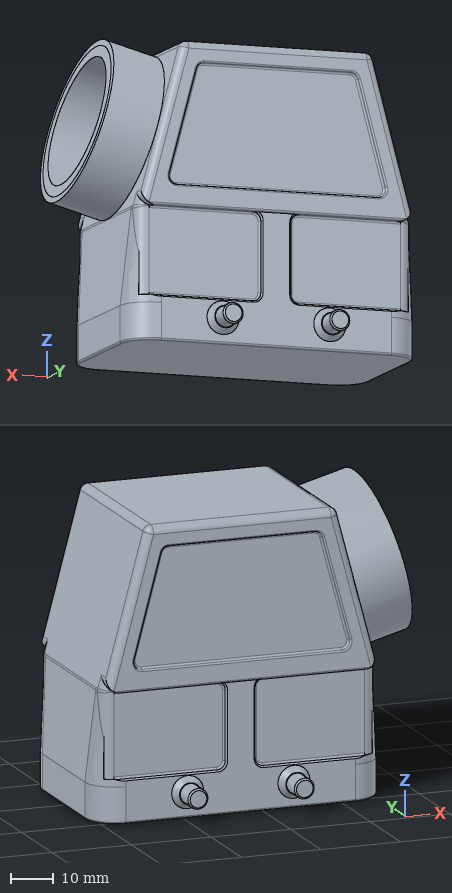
import cadquery as cq
import math

base_length = 72.7
base_width = 42.95
base_height = 9.0
base_corner_radius = 7.5
base_bottom_round = 0.5

shoulder_height = 32.1
shoulder_length = 69.0
shoulder_corner_radius = 5.0
shoulder_blend_radius = 3.0

hood_width = 44.95
hood_height = 71.9
hood_edge_round = 2.0
hood_bottom_round = 0.5
hood_lower_corner_radius = 2.8
end_slope = 15.0

recess_depth = 1.0
recess_corner_radius = 2.0
recess_floor_round = 0.5
recess_rim_round = 0.4
rim_flare_angle = 45.0
pocket_bottom = 10.9
pocket_end_depth = 1.9
web_width = 7.5
window_margin = 5.2

core_corner_radius = 3.0
core_rise_into_hood = 8.35

pin_spacing = 26.7
pin_height = 6.3
pin_diameter = 5.0
pin_span = 57.2
pin_tip_chamfer = 0.4
boss_base_diameter = 8.0
boss_tip_diameter = 5.35
boss_length = 1.7

collar_diameter = 40.6
collar_face_x = 41.95
collar_face_z = 55.0
collar_root_overlap = 1.7
sleeve_outer_diameter = 37.5
sleeve_bore_diameter = 32.0

slope_angle = math.radians(end_slope)
slope_run = math.tan(slope_angle)
top_length = shoulder_length - 2 * (hood_height - shoulder_height) * slope_run
core_width = base_width - 2 * recess_depth
core_top = shoulder_height + core_rise_into_hood
core_top_length = shoulder_length - 2 * core_rise_into_hood * slope_run

window_bottom = shoulder_height + window_margin
window_top = hood_height - window_margin
window_half_length = shoulder_length / 2 - window_margin

collar_axis = cq.Vector(math.cos(slope_angle), 0, math.sin(slope_angle))
collar_face = cq.Vector(collar_face_x, 0, collar_face_z)
shoulder_end = cq.Vector(shoulder_length / 2, 0, shoulder_height)
collar_length = (collar_face - shoulder_end).dot(collar_axis)
collar_plane = cq.Plane(collar_face, (0, 1, 0), collar_axis)

clear_of_part = 2 * base_length
edge_tolerance = 0.04


def rounded_rectangle(length, width, corner_radius):
    return cq.Sketch().rect(length, width).vertices().fillet(corner_radius)


def tapered_block(bottom, lower_section, top, upper_section):
    """Block between two horizontal sections."""
    raised_section = upper_section.moved(cq.Location(cq.Vector(0, 0, top - bottom)))
    return cq.Workplane("XY", origin=(0, 0, bottom)).placeSketch(lower_section, raised_section).loft()


def on_both_sides(feature):
    """The feature on the -Y side and its mirror image on the +Y side."""
    return [feature, feature.mirror("XZ")]


def on_four_sides(feature):
    """The feature at the +X end and at the -X end, on both sides."""
    return on_both_sides(feature) + on_both_sides(feature.mirror("YZ"))


def edges_in_plane(axis, position, half_width, bottom, top):
    """Selector for edges in a plane across X or Y, between two heights and centred on the other axis."""
    low = (position - edge_tolerance, -half_width, bottom - edge_tolerance)
    high = (position + edge_tolerance, half_width, top + edge_tolerance)
    if axis == "Y":
        low = (low[1], low[0], low[2])
        high = (high[1], high[0], high[2])
    return cq.selectors.BoxSelector(low, high, boundingbox=True)


def make_core():
    """Upright block that forms the pocket floors, carried on into the hood at the end slope."""
    section = rounded_rectangle(shoulder_length, core_width, core_corner_radius)
    top_section = rounded_rectangle(core_top_length, core_width, core_corner_radius)
    upright = cq.Workplane("XY", origin=(0, 0, base_height)).placeSketch(section)
    upright = upright.extrude(shoulder_height - base_height)
    return upright.union(tapered_block(shoulder_height, section, core_top, top_section))


def make_side_pocket():
    """Pocket volume at the +X end of the -Y side, with a flared rim and rounded floor edge."""
    height = shoulder_height - pocket_bottom

    def block(corner_x, floor_y, depth):
        volume = cq.Workplane("XY").box(clear_of_part, depth, height, centered=False)
        return volume.translate((corner_x, floor_y - depth, pocket_bottom))

    shallow = block(web_width / 2, -core_width / 2, recess_depth - recess_rim_round)
    shallow = shallow.edges("|Y and <X").fillet(recess_corner_radius)
    rim = shallow.faces("<Y").wires().toPending().workplane()
    rim = rim.extrude(recess_rim_round, combine=False, taper=-rim_flare_angle)
    shallow = shallow.faces(">Y").edges("not >X").fillet(recess_floor_round)
    deep_x = shoulder_length / 2 - core_corner_radius
    deep = block(deep_x, pocket_end_depth - base_width / 2, clear_of_part)
    return shallow.union(rim).union(deep)


def make_skirt():
    """Straight base, and above it the taper that leans in to the shoulder, with four side pockets."""
    lower_section = rounded_rectangle(base_length, base_width, base_corner_radius)
    upper_section = rounded_rectangle(shoulder_length, base_width, shoulder_corner_radius)
    base = cq.Workplane("XY").placeSketch(lower_section).extrude(base_height)
    base = base.faces("<Z").edges().fillet(base_bottom_round)
    skirt = base.union(tapered_block(base_height, lower_section, shoulder_height, upper_section))
    for pocket in on_four_sides(make_side_pocket()):
        skirt = skirt.cut(pocket)
    return skirt


def cheek_outline(margin):
    """XZ corner points of the hood outline, moved inward by a margin on every side."""
    bottom = shoulder_height + margin
    top = hood_height - margin
    side_margin = margin / math.cos(slope_angle)
    half_bottom = shoulder_length / 2 - side_margin - margin * slope_run
    half_top = top_length / 2 - side_margin + margin * slope_run
    return [(-half_bottom, bottom), (half_bottom, bottom), (half_top, top), (-half_top, top)]


def make_corner_cutter():
    """Volume that rounds the lower corner of a cheek, at the +X end of the -Y side."""
    radius = hood_lower_corner_radius
    corner_x = shoulder_length / 2
    corner_half_angle = math.radians(90 - end_slope) / 2
    tangent_length = radius / math.tan(corner_half_angle)
    bottom_x = corner_x - tangent_length
    slope_x = corner_x - tangent_length * math.sin(slope_angle)
    slope_z = shoulder_height + tangent_length * math.cos(slope_angle)
    middle_angle = -math.pi / 2 + math.radians(90 + end_slope) / 2
    middle_x = bottom_x + radius * math.cos(middle_angle)
    middle_z = shoulder_height + radius + radius * math.sin(middle_angle)
    return (
        cq.Workplane("XZ", origin=(0, core_corner_radius - core_width / 2, 0))
        .moveTo(bottom_x, shoulder_height)
        .threePointArc((middle_x, middle_z), (slope_x, slope_z))
        .lineTo(corner_x, slope_z)
        .lineTo(corner_x, shoulder_height)
        .close()
        .extrude(clear_of_part)
    )


def make_window():
    """Recess volume in the -Y cheek, with its floor edge rounded."""
    window = cq.Workplane("XZ", origin=(0, recess_depth - hood_width / 2, 0))
    window = window.polyline(cheek_outline(window_margin)).close().extrude(clear_of_part)
    window = window.edges("|Y").fillet(recess_corner_radius)
    return window.faces(">Y").edges().fillet(recess_floor_round)


def make_hood():
    """Block with sloped ends, rounded edges and lower corners, and a window in each cheek."""
    hood = cq.Workplane("XZ").polyline(cheek_outline(0)).close().extrude(hood_width / 2, both=True)
    hood = hood.edges("not <Z").fillet(hood_edge_round)
    hood = hood.faces("<Z").edges("|X").fillet(hood_bottom_round)
    for cutter in on_four_sides(make_corner_cutter()):
        hood = hood.cut(cutter)
    for window in on_both_sides(make_window()):
        hood = hood.cut(window)
    for y in (-hood_width / 2, hood_width / 2):
        rim = edges_in_plane("Y", y, window_half_length, window_bottom, window_top)
        hood = hood.edges(rim).fillet(recess_rim_round)
    return hood


def make_pin():
    """Locking pin with its conical boss, at the +X end of the -Y side."""
    root = -core_width / 2
    boss_tip = -base_width / 2 - boss_length
    tip = -pin_span / 2
    half_profile = [
        (0, root),
        (boss_base_diameter / 2, root),
        (boss_base_diameter / 2, -base_width / 2),
        (boss_tip_diameter / 2, boss_tip),
        (pin_diameter / 2, boss_tip),
        (pin_diameter / 2, tip + pin_tip_chamfer),
        (pin_diameter / 2 - pin_tip_chamfer, tip),
        (0, tip),
    ]
    pin = cq.Workplane("XY").polyline(half_profile).close().revolve(360, (0, 0), (0, 1))
    return pin.translate((pin_spacing / 2, 0, pin_height))


def collar_cylinder(diameter, depth):
    """Cylinder that runs from the open face of the collar toward the hood."""
    return cq.Workplane(collar_plane).circle(diameter / 2).extrude(-depth)


def make_housing():
    housing = make_core().union(make_skirt()).union(make_hood())
    for x in (-shoulder_length / 2, shoulder_length / 2):
        shoulder_edge = edges_in_plane("X", x, clear_of_part, shoulder_height, shoulder_height)
        housing = housing.edges(shoulder_edge).fillet(shoulder_blend_radius)
    for pin in on_four_sides(make_pin()):
        housing = housing.union(pin)
    housing = housing.union(collar_cylinder(collar_diameter, collar_length + collar_root_overlap))
    return housing.cut(collar_cylinder(sleeve_outer_diameter, collar_length))


def make_sleeve():
    """Plain sleeve that fills the collar, flush with its open face."""
    sleeve = collar_cylinder(sleeve_outer_diameter, collar_length)
    return sleeve.cut(collar_cylinder(sleeve_bore_diameter, collar_length))


housing = make_housing()
sleeve = make_sleeve()
result = cq.Compound.makeCompound([housing.val(), sleeve.val()])